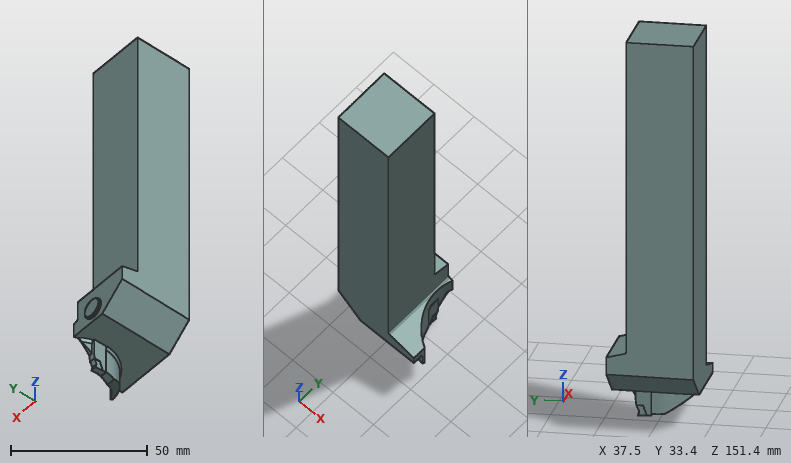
import cadquery as cq
import math

TOTAL_HEIGHT = 151.4
SHANK_WIDTH = 25.0
SHANK_DEPTH = 25.0
HEAD_WIDTH = 37.5
HEAD_DEPTH = 32.4
HEAD_BOTTOM = 13.6
SIDE_RELIEF = 0.2
CORNER_RUN = 11.2
CORNER_RISE = 9.5

LEDGE_ANGLE = 15
LEDGE_SLOPE = math.tan(math.radians(LEDGE_ANGLE))
SIDE_LEDGE_EDGE = 17.3
BACK_LEDGE_EDGE = 29.7
LEDGE_FILLET = 0.8
side_ledge_root = SIDE_LEDGE_EDGE + (HEAD_WIDTH - SHANK_WIDTH) * LEDGE_SLOPE
back_ledge_root = BACK_LEDGE_EDGE + (HEAD_DEPTH - SHANK_DEPTH) * LEDGE_SLOPE

HOLLOW_RADIUS = 21.6
HOLLOW_LEFT = 25.9
HOLLOW_Y = 25.1

BLADE_LEFT = 23.5
BLADE_RADIUS = 16.2
BLADE_Y = 20.7
BLADE_BOTTOM = 0.9
BLADE_HEEL_Y = 15.3
HEEL_ANGLE = 30
HEEL_SLOPE = math.tan(math.radians(HEEL_ANGLE))
JAW_TOP_Y = 30.7
JAW_LOW_Y = 26.0
JAW_LOW_Z = 7.3
BLADE_FLARE = 1.5
FLARE_WIDTH = 0.6

INSERT_LEFT = 23.2
INSERT_WIDTH = 2.7
INSERT_BACK = 20.1
INSERT_FRONT = JAW_LOW_Y
INSERT_HEEL_Z = 0.5
TIP_Y = 25.1
RAKE_TOP_Z = 7.0
CHIP_GROOVE_TOP = (25.7, 4.1)
CHIP_GROOVE_FLOOR = (24.7, 1.8)
SIDE_GRIND = 0.2
GRIND_TOP_Y = 23.2
GRIND_LOW_Y = 21.6

SCREW_DIAMETER = 8.5
SCREW_X = 16.0
SCREW_Z = 19.7
SCREW_HEIGHT = 1.0
SCREW_CHAMFER = 0.5


def prism_along_y(points, y_start, y_end):
    """Extrude an XZ outline from y_start to y_end."""
    plane = cq.Workplane("XZ", origin=(0, y_start, 0))
    return plane.polyline(points).close().extrude(y_start - y_end)


def prism_along_x(points, x_start, x_end):
    """Extrude a YZ outline from x_start to x_end."""
    plane = cq.Workplane("YZ", origin=(x_start, 0, 0))
    return plane.polyline(points).close().extrude(x_end - x_start)


def make_shank_and_head():
    front_outline = [
        (0, TOTAL_HEIGHT),
        (SHANK_WIDTH, TOTAL_HEIGHT),
        (SHANK_WIDTH, side_ledge_root),
        (HEAD_WIDTH, SIDE_LEDGE_EDGE),
        (HEAD_WIDTH, HEAD_BOTTOM),
        (CORNER_RUN, HEAD_BOTTOM),
        (0, HEAD_BOTTOM + CORNER_RISE),
    ]
    side_outline = [
        (0, HEAD_BOTTOM),
        (HEAD_DEPTH, HEAD_BOTTOM),
        (HEAD_DEPTH, BACK_LEDGE_EDGE),
        (SHANK_DEPTH, back_ledge_root),
        (SHANK_DEPTH, TOTAL_HEIGHT),
        (0, TOTAL_HEIGHT),
    ]
    plan_outline = [(SIDE_RELIEF, 0), (HEAD_WIDTH, 0), (HEAD_WIDTH, HEAD_DEPTH), (0, HEAD_DEPTH)]
    side_root = cq.selectors.NearestToPointSelector((SHANK_WIDTH, HEAD_DEPTH / 2, side_ledge_root))
    back_root = cq.selectors.NearestToPointSelector((HEAD_WIDTH / 2, SHANK_DEPTH, back_ledge_root))
    front = prism_along_y(front_outline, 0, HEAD_DEPTH).edges(side_root).fillet(LEDGE_FILLET)
    side = prism_along_x(side_outline, 0, HEAD_WIDTH).edges(back_root).fillet(LEDGE_FILLET)
    plan = cq.Workplane("XY").polyline(plan_outline).close().extrude(TOTAL_HEIGHT)
    return front.intersect(side).intersect(plan)


def make_blade():
    centre_x = BLADE_LEFT + BLADE_RADIUS
    outline = [
        (JAW_TOP_Y, HEAD_BOTTOM),
        (JAW_LOW_Y, JAW_LOW_Z),
        (JAW_LOW_Y, BLADE_BOTTOM),
        (BLADE_HEEL_Y, BLADE_BOTTOM),
        (0, BLADE_BOTTOM + BLADE_HEEL_Y * HEEL_SLOPE),
        (0, HEAD_BOTTOM),
    ]
    curve = cq.Workplane("XY").center(centre_x, BLADE_Y).circle(BLADE_RADIUS).extrude(HEAD_BOTTOM)
    flare = (
        cq.Workplane("XY", origin=(centre_x, BLADE_Y, HEAD_BOTTOM - BLADE_FLARE))
        .circle(BLADE_RADIUS)
        .workplane(offset=BLADE_FLARE)
        .circle(BLADE_RADIUS + FLARE_WIDTH)
        .loft()
    )
    return curve.union(flare).intersect(prism_along_x(outline, 0, HEAD_WIDTH))


def make_hollow():
    plane = cq.Workplane("XY").center(HOLLOW_LEFT + HOLLOW_RADIUS, HOLLOW_Y)
    return plane.circle(HOLLOW_RADIUS).extrude(TOTAL_HEIGHT)


def make_screw_head():
    plane = cq.Workplane("XZ", origin=(SCREW_X, HEAD_DEPTH, SCREW_Z))
    return plane.circle(SCREW_DIAMETER / 2).extrude(-SCREW_HEIGHT).faces(">Y").chamfer(SCREW_CHAMFER)


def make_insert():
    outline = [
        (INSERT_BACK, HEAD_BOTTOM),
        (INSERT_FRONT, HEAD_BOTTOM),
        (INSERT_FRONT, RAKE_TOP_Z),
        CHIP_GROOVE_TOP,
        CHIP_GROOVE_FLOOR,
        (TIP_Y, 0),
        (INSERT_BACK, INSERT_HEEL_Z),
    ]
    insert_right = INSERT_LEFT + INSERT_WIDTH
    body = prism_along_x(outline, INSERT_LEFT, insert_right)
    grind_top = CHIP_GROOVE_TOP[1]
    grind_outline = [
        (INSERT_FRONT, grind_top),
        (GRIND_TOP_Y, grind_top),
        (GRIND_LOW_Y, 0),
        (INSERT_FRONT, 0),
    ]
    left_grind = prism_along_x(grind_outline, INSERT_LEFT, INSERT_LEFT + SIDE_GRIND)
    right_grind = prism_along_x(grind_outline, insert_right - SIDE_GRIND, insert_right)
    return body.cut(left_grind).cut(right_grind)


def make_insert_slot():
    """Gap right through the blade that the insert fills."""
    outline = [
        (INSERT_BACK, HEAD_BOTTOM),
        (INSERT_FRONT, HEAD_BOTTOM),
        (INSERT_FRONT, 0),
        (INSERT_BACK, 0),
    ]
    return prism_along_x(outline, 0, HEAD_WIDTH)


insert = make_insert()
insert_slot = make_insert_slot()

holder = make_shank_and_head().union(make_blade()).cut(make_hollow()).cut(insert_slot)
holder = holder.union(make_screw_head())

result = cq.Compound.makeCompound([holder.val(), insert.val()])